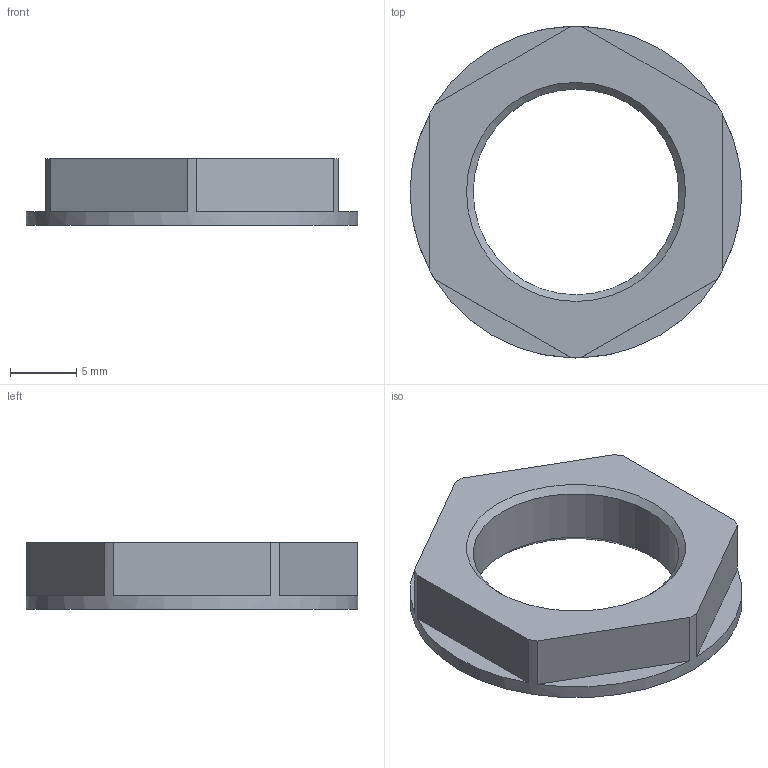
import cadquery as cq
import math

FLANGE_DIAMETER = 25.0
FLANGE_THICKNESS = 1.0
TOTAL_HEIGHT = 5.0
ACROSS_FLATS = 22.0
BORE_DIAMETER = 15.5
BORE_CHAMFER = 0.5
HEXAGON_SIDES = 6

FLAT_TO_CORNER_ANGLE = 180 / HEXAGON_SIDES
ACROSS_CORNERS = ACROSS_FLATS / math.cos(math.radians(FLAT_TO_CORNER_ANGLE))


def make_flange():
    """Thin round flange at the base of the nut."""
    return cq.Workplane("XY").circle(FLANGE_DIAMETER / 2).extrude(FLANGE_THICKNESS)


def make_hexagon():
    """Hexagon with two flats facing +X and -X, its corners turned to the flange diameter."""
    sharp_hexagon = (
        cq.Workplane("XY")
        .transformed(rotate=(0, 0, 90))
        .polygon(HEXAGON_SIDES, ACROSS_CORNERS)
        .extrude(TOTAL_HEIGHT)
    )
    turned_envelope = cq.Workplane("XY").circle(FLANGE_DIAMETER / 2).extrude(TOTAL_HEIGHT)
    return sharp_hexagon.intersect(turned_envelope)


def make_bore():
    """Through bore, widened by a 45 degree chamfer at each end."""
    bore_radius = BORE_DIAMETER / 2
    mouth_radius = bore_radius + BORE_CHAMFER
    return (
        cq.Workplane("XZ")
        .moveTo(0, 0)
        .lineTo(mouth_radius, 0)
        .lineTo(bore_radius, BORE_CHAMFER)
        .lineTo(bore_radius, TOTAL_HEIGHT - BORE_CHAMFER)
        .lineTo(mouth_radius, TOTAL_HEIGHT)
        .lineTo(0, TOTAL_HEIGHT)
        .close()
        .revolve(360, (0, 0, 0), (0, 1, 0))
    )


result = make_flange().union(make_hexagon()).cut(make_bore())